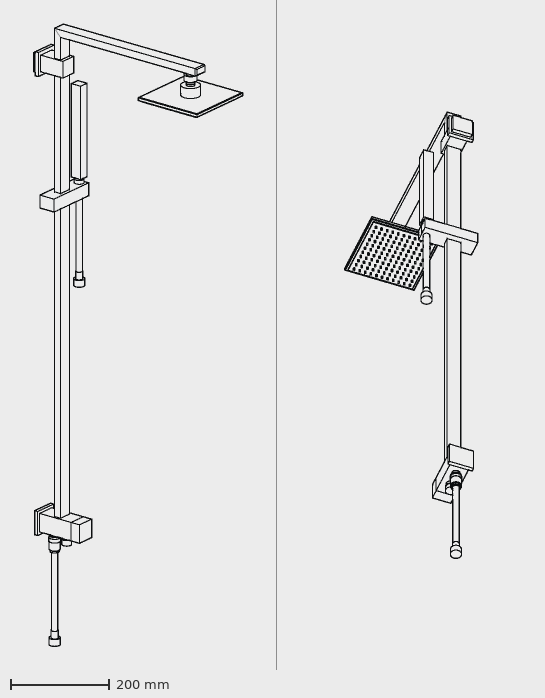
import cadquery as cq

TOTAL_HEIGHT = 1358.0

RAIL_THICKNESS = 16.0
RAIL_WIDTH = 30.0
ARM_END_X = 360.0
ARM_END_CHAMFER_DEPTH = 1.0
ARM_END_CHAMFER_LENGTH = 4.0

MIXER_CENTRE_Z = 267.0
MIXER_SIZE = 41.0
MIXER_WALL_X = -50.0
MIXER_BODY_END_X = 40.0
KNOB_LENGTH = 22.0
FLANGE_SIZE = 53.0
FLANGE_THICKNESS = 8.0
HOSE_X = -19.0
STUB_X = 12.0
OUTLET_NECK_DIAMETER = 18.0
OUTLET_NECK_LENGTH = 8.0
STUB_DIAMETER = 20.0
STUB_LENGTH = 12.0
NUT_DIAMETER = 25.0
NUT_LENGTH = 12.0
NUT_SHOULDER_DIAMETER = 23.0
NUT_SHOULDER_LENGTH = 4.0
SLEEVE_DIAMETER = 23.0
SLEEVE_LENGTH = 19.0
SLEEVE_CHAMFER = 1.0
COLLAR_DIAMETER = 19.0

HOSE_LENGTH = 204.0
HOSE_DIAMETER = 14.0
FERRULE_DIAMETER = 15.0
FERRULE_LENGTH = 16.0
END_NUT_DIAMETER = 23.0
END_NUT_LENGTH = 15.0

BRACKET_CENTRE_Z = 1273.0
BRACKET_WALL_X = -57.0
BRACKET_END_X = 16.0
BRACKET_SIZE = 37.0
CAP_SIZE = 42.0
CAP_LENGTH = 8.0

SLIDER_BOTTOM_Z = 971.0
SLIDER_HEIGHT = 29.0
SLIDER_BACK_X = -20.0
SLIDER_FRONT_X = 16.0
SLIDER_MIN_Y = -48.0
SLIDER_MAX_Y = 68.0

HAND_Y = 57.0
HAND_WIDTH_X = 25.0
HAND_WIDTH_Y = 22.0
HAND_TOP_Z = 1216.0
HAND_BOTTOM_Z = 1011.0
HAND_NECK_DIAMETER = 19.0
HAND_NECK_LENGTH = 4.0
HAND_COLLAR_DIAMETER = 20.0
HAND_HOSE_BOTTOM_Z = 774.0

HEAD_X = 333.0
PLATE_SIZE = 152.0
PLATE_TOP_Z = 1290.0
PLATE_EDGE_CHAMFER = 1.0
PLATE_THICKNESS = 8.0
STEP_SIZE = 141.0
STEP_THICKNESS = 3.0
NOZZLE_COUNT = 11
NOZZLE_PITCH = 12.0
NOZZLE_LENGTH = 4.0
NOZZLE_DIAMETER = 3.5
HUB_DIAMETER = 41.0
HUB_HEIGHT = 22.0
SWIVEL_STEM_DIAMETER = 18.0
SWIVEL_NUT_DIAMETER = 27.0
SWIVEL_NUT_BOTTOM_Z = 1322.0
SWIVEL_NUT_HEIGHT = 12.0
SWIVEL_RING_DIAMETER = 19.0
SWIVEL_RING_BOTTOM_Z = 1315.0
SWIVEL_RING_HEIGHT = 4.0

arm_bottom_z = TOTAL_HEIGHT - RAIL_THICKNESS
mixer_top_z = MIXER_CENTRE_Z + MIXER_SIZE / 2
mixer_bottom_z = MIXER_CENTRE_Z - MIXER_SIZE / 2
hand_hose_top_z = HAND_HOSE_BOTTOM_Z + HOSE_LENGTH
slider_top_z = SLIDER_BOTTOM_Z + SLIDER_HEIGHT


def cylinder(x, y, bottom_z, diameter, height):
    """Upright cylinder standing on bottom_z."""
    return cq.Workplane("XY", origin=(x, y, bottom_z)).circle(diameter / 2).extrude(height)


def square_bar(start_x, end_x, centre_z, size):
    """Bar of square section along X, centred on Y = 0."""
    return cq.Workplane("YZ", origin=(start_x, 0, centre_z)).rect(size, size).extrude(end_x - start_x)


def upright_block(x, y, bottom_z, width_x, width_y, height):
    """Rectangular block standing on bottom_z."""
    return cq.Workplane("XY", origin=(x, y, bottom_z)).rect(width_x, width_y).extrude(height)


def riser_bore(bottom_z, height):
    """Volume taken by a stretch of the riser."""
    return upright_block(0, 0, bottom_z, RAIL_THICKNESS, RAIL_WIDTH, height)


def make_rail():
    """Bar swept up the riser and along the arm, mitred at the corner."""
    arm_centre_z = TOTAL_HEIGHT - RAIL_THICKNESS / 2
    path = (
        cq.Workplane("XZ")
        .moveTo(0, mixer_top_z)
        .lineTo(0, arm_centre_z)
        .lineTo(ARM_END_X, arm_centre_z)
    )
    section = cq.Workplane("XY", origin=(0, 0, mixer_top_z)).rect(RAIL_THICKNESS, RAIL_WIDTH)
    bar = section.sweep(path, transition="right", clean=False)
    return bar.faces(">X").chamfer(ARM_END_CHAMFER_LENGTH, ARM_END_CHAMFER_DEPTH)


def make_wall_bracket():
    flange_start_x = BRACKET_WALL_X + CAP_LENGTH
    flange_end_x = flange_start_x + FLANGE_THICKNESS
    cap = square_bar(BRACKET_WALL_X, flange_start_x, BRACKET_CENTRE_Z, CAP_SIZE)
    flange = square_bar(flange_start_x, flange_end_x, BRACKET_CENTRE_Z, FLANGE_SIZE)
    block = square_bar(flange_end_x, BRACKET_END_X, BRACKET_CENTRE_Z, BRACKET_SIZE)
    bore = riser_bore(BRACKET_CENTRE_Z - BRACKET_SIZE / 2, BRACKET_SIZE)
    return cap.union(flange).union(block).cut(bore)


def make_slider():
    block = upright_block(
        (SLIDER_BACK_X + SLIDER_FRONT_X) / 2,
        (SLIDER_MIN_Y + SLIDER_MAX_Y) / 2,
        SLIDER_BOTTOM_Z,
        SLIDER_FRONT_X - SLIDER_BACK_X,
        SLIDER_MAX_Y - SLIDER_MIN_Y,
        SLIDER_HEIGHT,
    )
    rail_bore = riser_bore(SLIDER_BOTTOM_Z, SLIDER_HEIGHT)
    hose_bore = cylinder(0, HAND_Y, SLIDER_BOTTOM_Z, HOSE_DIAMETER, SLIDER_HEIGHT)
    collar_bore = cylinder(0, HAND_Y, hand_hose_top_z, HAND_COLLAR_DIAMETER, slider_top_z - hand_hose_top_z)
    return block.cut(rail_bore).cut(hose_bore).cut(collar_bore)


def make_hand_shower():
    handle = upright_block(
        0, HAND_Y, HAND_BOTTOM_Z, HAND_WIDTH_X, HAND_WIDTH_Y, HAND_TOP_Z - HAND_BOTTOM_Z
    )
    collar_top_z = HAND_BOTTOM_Z - HAND_NECK_LENGTH
    neck = cylinder(0, HAND_Y, collar_top_z, HAND_NECK_DIAMETER, HAND_NECK_LENGTH)
    collar = cylinder(0, HAND_Y, hand_hose_top_z, HAND_COLLAR_DIAMETER, collar_top_z - hand_hose_top_z)
    return handle.union(neck).union(collar)


def make_hose(x, y, bottom_z):
    hose = cylinder(x, y, bottom_z, HOSE_DIAMETER, HOSE_LENGTH)
    ferrule = cylinder(x, y, bottom_z + END_NUT_LENGTH, FERRULE_DIAMETER, FERRULE_LENGTH)
    end_nut = cylinder(x, y, bottom_z, END_NUT_DIAMETER, END_NUT_LENGTH)
    return hose.union(ferrule).union(end_nut)


def make_mixer():
    flange_end_x = MIXER_WALL_X + FLANGE_THICKNESS
    flange = square_bar(MIXER_WALL_X, flange_end_x, MIXER_CENTRE_Z, FLANGE_SIZE)
    block = square_bar(flange_end_x, MIXER_BODY_END_X, MIXER_CENTRE_Z, MIXER_SIZE)
    mixer = flange.union(block)

    outlet_bottom_z = mixer_bottom_z - OUTLET_NECK_LENGTH
    for x in (HOSE_X, STUB_X):
        mixer = mixer.union(cylinder(x, 0, outlet_bottom_z, OUTLET_NECK_DIAMETER, OUTLET_NECK_LENGTH))
    stub = cylinder(STUB_X, 0, outlet_bottom_z - STUB_LENGTH, STUB_DIAMETER, STUB_LENGTH)

    nut_bottom_z = outlet_bottom_z - NUT_LENGTH
    sleeve_bottom_z = nut_bottom_z - SLEEVE_LENGTH
    shoulder_bottom_z = outlet_bottom_z - NUT_SHOULDER_LENGTH
    shoulder = cylinder(HOSE_X, 0, shoulder_bottom_z, NUT_SHOULDER_DIAMETER, NUT_SHOULDER_LENGTH)
    nut = cylinder(HOSE_X, 0, nut_bottom_z, NUT_DIAMETER, shoulder_bottom_z - nut_bottom_z)
    sleeve = cylinder(HOSE_X, 0, sleeve_bottom_z, SLEEVE_DIAMETER, SLEEVE_LENGTH)
    sleeve = sleeve.faces("<Z").chamfer(SLEEVE_CHAMFER)
    collar = cylinder(HOSE_X, 0, HOSE_LENGTH, COLLAR_DIAMETER, sleeve_bottom_z - HOSE_LENGTH)
    return mixer.union(stub).union(shoulder).union(nut).union(sleeve).union(collar)


def make_knob():
    return square_bar(MIXER_BODY_END_X, MIXER_BODY_END_X + KNOB_LENGTH, MIXER_CENTRE_Z, MIXER_SIZE)


def make_shower_head():
    plate_bottom_z = PLATE_TOP_Z - PLATE_THICKNESS
    step_bottom_z = plate_bottom_z - STEP_THICKNESS
    plate = upright_block(HEAD_X, 0, plate_bottom_z, PLATE_SIZE, PLATE_SIZE, PLATE_THICKNESS)
    plate = plate.faces(">Z or <Z").chamfer(PLATE_EDGE_CHAMFER)
    step = upright_block(HEAD_X, 0, step_bottom_z, STEP_SIZE, STEP_SIZE, STEP_THICKNESS)
    nozzles = (
        cq.Workplane("XY", origin=(HEAD_X, 0, step_bottom_z))
        .rarray(NOZZLE_PITCH, NOZZLE_PITCH, NOZZLE_COUNT, NOZZLE_COUNT)
        .circle(NOZZLE_DIAMETER / 2)
        .extrude(-NOZZLE_LENGTH)
    )
    hub = cylinder(HEAD_X, 0, PLATE_TOP_Z, HUB_DIAMETER, HUB_HEIGHT)
    ring = cylinder(HEAD_X, 0, SWIVEL_RING_BOTTOM_Z, SWIVEL_RING_DIAMETER, SWIVEL_RING_HEIGHT)
    stem = cylinder(HEAD_X, 0, PLATE_TOP_Z, SWIVEL_STEM_DIAMETER, arm_bottom_z - PLATE_TOP_Z)
    nut = cylinder(HEAD_X, 0, SWIVEL_NUT_BOTTOM_Z, SWIVEL_NUT_DIAMETER, SWIVEL_NUT_HEIGHT)
    return plate.union(step).union(nozzles).union(hub).union(stem).union(ring).union(nut)


rail = make_rail()
wall_bracket = make_wall_bracket()
slider = make_slider()
hand_shower = make_hand_shower()
hose_places = [(HOSE_X, 0, 0), (0, HAND_Y, HAND_HOSE_BOTTOM_Z)]
hoses = [make_hose(x, y, bottom_z) for x, y, bottom_z in hose_places]
mixer = make_mixer()
knob = make_knob()
shower_head = make_shower_head()

result = cq.Compound.makeCompound(
    [
        rail.val(),
        wall_bracket.val(),
        slider.val(),
        hand_shower.val(),
        *[hose.val() for hose in hoses],
        mixer.val(),
        knob.val(),
        shower_head.val(),
    ]
)